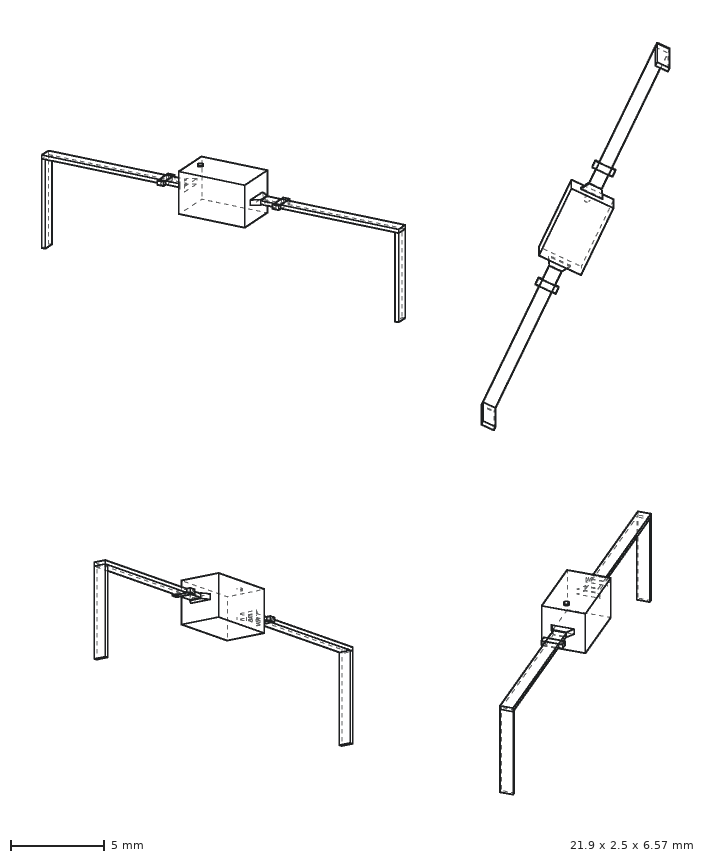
import cadquery as cq

housing_length = 4.05
housing_width = 2.5
housing_height = 2.45
dot_diameter = 0.3
dot_height = 0.09
dot_edge_distance = 0.61

overall_length = 21.9
overall_height = 6.57
lead_width = 0.75
lead_thickness = 0.22
lead_y = 0.05

collar_length = 0.45
collar_root_width = 1.31
collar_thickness = 0.3

band_length = 0.4
band_width = 1.2
band_wall = 0.01
band_distance = 1.51

housing_end = housing_length / 2
housing_top = housing_height / 2
strip_start = housing_end + collar_length
strip_end = overall_length / 2
strip_length = strip_end - strip_start
lead_bottom = -lead_thickness / 2
leg_bottom = housing_top + dot_height - overall_height
leg_height = lead_bottom - leg_bottom
band_x = housing_end + band_distance
band_thickness = lead_thickness + 2 * band_wall


def make_housing():
    """Block with a low round orientation dot on its top."""
    block = cq.Workplane("XY").box(housing_length, housing_width, housing_height)
    dot = (
        cq.Workplane("XY", origin=(dot_edge_distance - housing_end, lead_y, housing_top))
        .circle(dot_diameter / 2)
        .extrude(dot_height)
    )
    return block.union(dot)


def make_collar(side):
    """Plate that narrows from the housing end to the strip width."""
    root_half = collar_root_width / 2
    tip_half = lead_width / 2
    return (
        cq.Workplane("XY", origin=(0, lead_y, 0))
        .polyline([
            (side * housing_end, -root_half),
            (side * strip_start, -tip_half),
            (side * strip_start, tip_half),
            (side * housing_end, root_half),
        ])
        .close()
        .extrude(collar_thickness / 2, both=True)
    )


def make_strip(side):
    """Horizontal flat strip reaching outward from the collar."""
    strip_x = side * (strip_start + strip_end) / 2
    return (
        cq.Workplane("XY")
        .box(strip_length, lead_width, lead_thickness)
        .translate((strip_x, lead_y, 0))
    )


def make_leg(side):
    """Vertical leg under the outer end of the strip."""
    leg_x = side * (strip_end - lead_thickness / 2)
    leg_z = (leg_bottom + lead_bottom) / 2
    return (
        cq.Workplane("XY")
        .box(lead_thickness, lead_width, leg_height)
        .translate((leg_x, lead_y, leg_z))
    )


def make_band(side):
    """Flat band with a slot through which the strip passes."""
    return (
        cq.Workplane("YZ")
        .rect(band_width, band_thickness)
        .rect(lead_width, lead_thickness)
        .extrude(band_length / 2, both=True)
        .translate((side * band_x, lead_y, 0))
    )


bodies = [make_housing().val()]
for side in (-1, 1):
    for make_body in (make_collar, make_strip, make_leg, make_band):
        bodies.append(make_body(side).val())

result = cq.Compound.makeCompound(bodies)